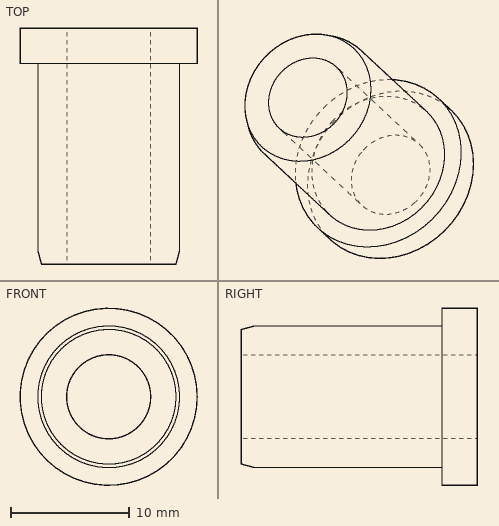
import cadquery as cq
import math

total_length = 20.0
head_diameter = 15.0
head_thickness = 3.0
body_diameter = 12.0
bore_diameter = 7.1

taper_inset = 0.3
taper_angle = 15.0
taper_length = taper_inset / math.tan(math.radians(taper_angle))

head_end = 0.0
head_shoulder = head_end - head_thickness
free_end = head_end - total_length
taper_start = free_end + taper_length


def bushing_profile():
    """Half section of the bushing in the XY plane, X being the radius."""
    bore_radius = bore_diameter / 2
    body_radius = body_diameter / 2
    head_radius = head_diameter / 2
    return (
        cq.Workplane("XY")
        .moveTo(bore_radius, free_end)
        .lineTo(body_radius - taper_inset, free_end)
        .lineTo(body_radius, taper_start)
        .lineTo(body_radius, head_shoulder)
        .lineTo(head_radius, head_shoulder)
        .lineTo(head_radius, head_end)
        .lineTo(bore_radius, head_end)
        .close()
    )


result = bushing_profile().revolve(360, (0, 0, 0), (0, 1, 0))